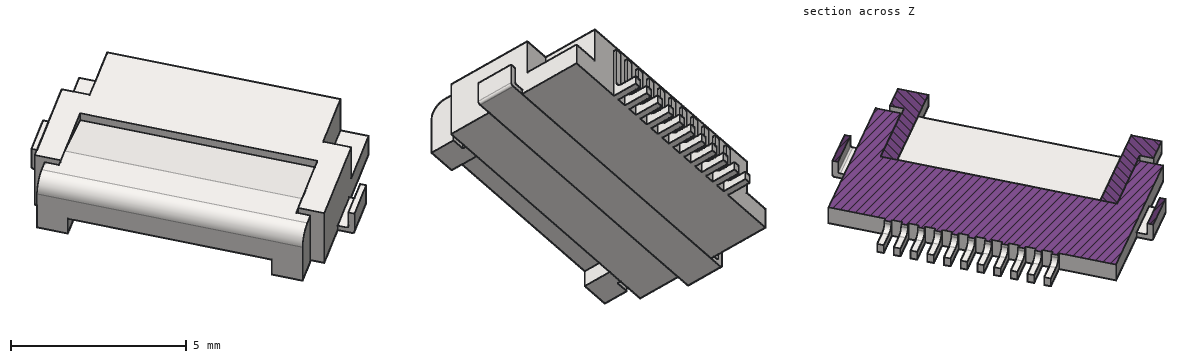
import cadquery as cq


total_width = 9.6
total_depth = 6.4
height = 2.0

housing_width = 8.6
housing_depth = 4.6
housing_front_y = 0.0
housing_back_y = housing_front_y + housing_depth
corner_width = 0.84
corner_depth = 1.8
corner_ledge_z = 0.75

lead_count = 11
lead_pitch = 0.5
lead_width = 0.2
lead_reach = 0.8
lead_foot_height = 0.3
lead_stem_depth = 0.09
lead_top_z = 1.8
lead_bend_radius = 0.2

head_width = 7.89
head_gap = 0.2
head_back_y = housing_front_y - head_gap
head_front_y = housing_back_y + lead_reach - total_depth
head_bottom_z = 0.14
head_radius = 0.5
tongue_width = 7.05
tongue_length = 2.0
tongue_back_y = housing_front_y + tongue_length
tongue_bottom_z = 0.59
tongue_flat_length = 0.4
tongue_slope_start_y = housing_front_y + tongue_flat_length
tongue_slope_drop = 0.28
cable_slot_width = 6.06
cable_slot_top_z = 0.74

strip_thickness = 0.18
strip_depth = 1.21
strip_setback = 2.0
strip_back_y = housing_back_y - strip_setback
strip_front_y = strip_back_y - strip_depth
strip_end_height = 0.8
strip_inner_radius = 0.06
strip_outer_radius = 0.09


def centred_box(width, y_min, y_max, z_min, z_max):
    """Box centred on X = 0 between the given Y and Z limits."""
    box = cq.Workplane("XY").box(width, y_max - y_min, z_max - z_min, centered=(True, False, False))
    return box.translate((0, y_min, z_min))


def extrude_along_x(outline, width):
    """Extrude a closed YZ outline to the given width, centred on X = 0."""
    return outline.extrude(width / 2, both=True)


def make_lead():
    """Lead outside the housing: a flat foot and a thin stem up the back wall."""
    stem_back_y = housing_back_y + lead_stem_depth
    tip_y = housing_back_y + lead_reach
    bend_tangent_z = lead_foot_height + lead_bend_radius
    outline = (
        cq.Workplane("YZ")
        .moveTo(housing_back_y, 0)
        .lineTo(tip_y, 0)
        .lineTo(tip_y, lead_foot_height)
        .lineTo(stem_back_y + lead_bend_radius, lead_foot_height)
        .radiusArc((stem_back_y, bend_tangent_z), lead_bend_radius)
        .lineTo(stem_back_y, lead_top_z)
        .lineTo(housing_back_y, lead_top_z)
        .close()
    )
    return extrude_along_x(outline, lead_width)


def make_strip():
    """Hold-down strip: a shallow U under the housing, both ends standing outside it."""
    inner_width = total_width - 2 * strip_thickness
    strip = centred_box(total_width, strip_front_y, strip_back_y, 0, strip_end_height)
    strip = strip.edges("|Y and <Z").fillet(strip_outer_radius)
    hollow = centred_box(inner_width, strip_front_y, strip_back_y, strip_thickness, strip_end_height)
    hollow = hollow.edges("|Y and <Z").fillet(strip_inner_radius)
    return strip.cut(hollow)


def make_housing():
    """Housing block with cut rear corners, slider pocket, strip channel and fused leads."""
    body = centred_box(housing_width, housing_front_y, housing_back_y, 0, height)

    corner_centre_x = (housing_width - corner_width) / 2
    corner = centred_box(corner_width, housing_back_y - corner_depth, housing_back_y, corner_ledge_z, height)
    for side in (-1, 1):
        body = body.cut(corner.translate((side * corner_centre_x, 0, 0)))

    body = body.cut(centred_box(tongue_width, housing_front_y, tongue_back_y, tongue_bottom_z, height))

    body = body.cut(centred_box(housing_width, strip_front_y, strip_back_y, 0, strip_thickness))

    lead = make_lead()
    for index in range(lead_count):
        lead_x = (index - (lead_count - 1) / 2) * lead_pitch
        body = body.union(lead.translate((lead_x, 0, 0)))
    return body


def make_slider():
    """Slider: a rounded head in front of the housing and a sloped tongue in its pocket."""
    head = centred_box(head_width, head_front_y, head_back_y, head_bottom_z, height)
    head = head.edges("|X and >Z and <Y").fillet(head_radius)

    tongue_outline = cq.Workplane("YZ").polyline([
        (head_back_y, head_bottom_z),
        (housing_front_y, head_bottom_z),
        (housing_front_y, tongue_bottom_z),
        (tongue_back_y, tongue_bottom_z),
        (tongue_back_y, height - tongue_slope_drop),
        (tongue_slope_start_y, height),
        (head_back_y, height),
    ]).close()
    slider = head.union(extrude_along_x(tongue_outline, tongue_width))

    cable_slot = centred_box(cable_slot_width, head_front_y, tongue_back_y, head_bottom_z, cable_slot_top_z)
    return slider.cut(cable_slot)


housing = make_housing()
slider = make_slider()
hold_down = make_strip()

result = cq.Compound.makeCompound([housing.val(), slider.val(), hold_down.val()])